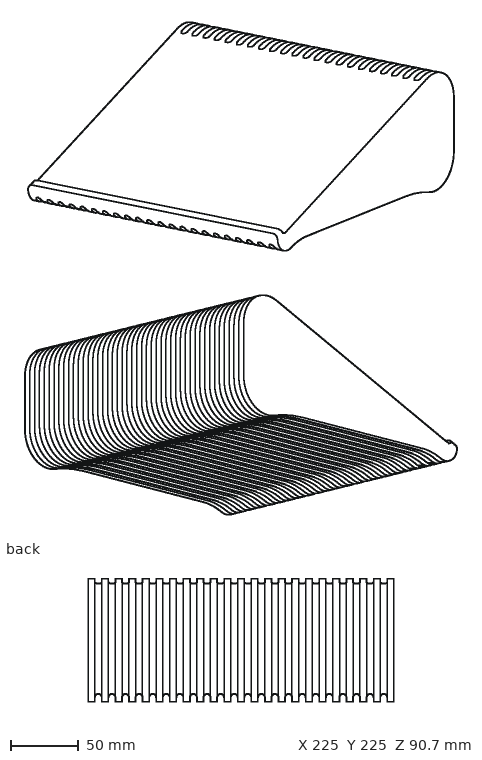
import cadquery as cq
import math

WIDTH = 225
DEPTH = 225
HEIGHT = 90.7

REAR_RADIUS = 25.0
NOSE_RADIUS = 12.5
BELLY_HEIGHT = 5.0
REAR_BLEND_RADIUS = 112.5
NOSE_BLEND_RADIUS = 50.0
SLOPE_ANGLE = math.radians(22.4)

LIP_HEIGHT = 4.7
LIP_BACK_Y = 5.6
LIP_ROOT_RADIUS = 2.5
LIP_END_RADIUS = 4.0

SLOT_COUNT = 22
SLOT_WIDTH = WIDTH / (2 * SLOT_COUNT + 1)
SLOT_PITCH = 2 * SLOT_WIDTH
SLOT_RADIUS = SLOT_WIDTH / 2
SLOT_CENTERS = [SLOT_PITCH * (i + 1) - SLOT_RADIUS for i in range(SLOT_COUNT)]
SLOT_DEPTH = 38.5
GROOVE_HEIGHT = 5.8

UPPER_RIGHT = 45
UPPER_LEFT = 135
LOWER_LEFT = 225
LOWER_RIGHT = 315

DOWN_SLOPE = (-math.cos(SLOPE_ANGLE), -math.sin(SLOPE_ANGLE))
SLOPE_NORMAL = (-math.sin(SLOPE_ANGLE), math.cos(SLOPE_ANGLE))

REAR_Y = DEPTH - REAR_RADIUS
TOP_CENTER = (REAR_Y, HEIGHT - REAR_RADIUS)
BOTTOM_CENTER = (REAR_Y, REAR_RADIUS)
NOSE_CENTER = (NOSE_RADIUS, NOSE_RADIUS)


def move(point, direction, distance):
    """Point shifted along a unit direction."""
    return (point[0] + distance * direction[0], point[1] + distance * direction[1])


def on_circle(center, radius, degrees):
    """Point on a circle at an angle counted from the first sketch axis toward the second."""
    angle = math.radians(degrees)
    return move(center, (math.cos(angle), math.sin(angle)), radius)


DECK_START = move(TOP_CENTER, SLOPE_NORMAL, REAR_RADIUS)


def deck_height(y, offset=0):
    """Height at y of a line parallel to the deck, offset along the deck normal."""
    deck_z = DECK_START[1] - (DECK_START[0] - y) * math.tan(SLOPE_ANGLE)
    return deck_z + offset / math.cos(SLOPE_ANGLE)


def belly_blend(foot_center, toward_belly, radius):
    """Arc tangent to a round foot and to the flat belly: foot point, middle, belly point."""
    foot_radius = foot_center[1]
    rise = radius + foot_radius - BELLY_HEIGHT
    reach = math.sqrt((radius + foot_radius) ** 2 - rise**2)
    center = (foot_center[0] + toward_belly * reach, BELLY_HEIGHT - radius)
    lean = math.atan2(reach, rise)

    def on_arc(angle):
        direction = (-toward_belly * math.sin(angle), math.cos(angle))
        return move(center, direction, radius)

    return on_arc(lean), on_arc(lean / 2), on_arc(0)


def make_body():
    """Solid wedge with its lip, extruded along X from the side profile."""
    lip_top_back = (LIP_BACK_Y, deck_height(LIP_BACK_Y, LIP_HEIGHT))
    lip_root = move(lip_top_back, SLOPE_NORMAL, -LIP_HEIGHT)
    root_on_deck = move(lip_root, DOWN_SLOPE, -LIP_ROOT_RADIUS)
    root_on_lip = move(lip_root, SLOPE_NORMAL, LIP_ROOT_RADIUS)
    root_center = move(root_on_deck, SLOPE_NORMAL, LIP_ROOT_RADIUS)
    root_middle_angle = LOWER_LEFT + math.degrees(SLOPE_ANGLE)
    root_middle = on_circle(root_center, LIP_ROOT_RADIUS, root_middle_angle)

    rear_foot, rear_blend, belly_rear = belly_blend(BOTTOM_CENTER, -1, REAR_BLEND_RADIUS)
    nose_foot, nose_blend, belly_front = belly_blend(NOSE_CENTER, 1, NOSE_BLEND_RADIUS)

    return (
        cq.Workplane("YZ")
        .moveTo(*DECK_START)
        .lineTo(*root_on_deck)
        .threePointArc(root_middle, root_on_lip)
        .lineTo(*lip_top_back)
        .lineTo(0, deck_height(0, LIP_HEIGHT))
        .lineTo(0, NOSE_RADIUS)
        .threePointArc(on_circle(NOSE_CENTER, NOSE_RADIUS, LOWER_LEFT), nose_foot)
        .threePointArc(nose_blend, belly_front)
        .lineTo(*belly_rear)
        .threePointArc(rear_blend, rear_foot)
        .threePointArc(on_circle(BOTTOM_CENTER, REAR_RADIUS, LOWER_RIGHT), (DEPTH, REAR_RADIUS))
        .lineTo(DEPTH, HEIGHT - REAR_RADIUS)
        .threePointArc(on_circle(TOP_CENTER, REAR_RADIUS, UPPER_RIGHT), DECK_START)
        .close()
        .extrude(WIDTH)
    )


def make_lip_end_cut():
    """Cutter that rounds the top of the lip at X = 0, swept parallel to the deck."""
    plane = cq.Plane(
        origin=(0, 0, deck_height(0, LIP_HEIGHT)),
        xDir=(1, 0, 0),
        normal=(0, DOWN_SLOPE[0], DOWN_SLOPE[1]),
    )
    round_center = (LIP_END_RADIUS, -LIP_END_RADIUS)
    reach = LIP_BACK_Y + LIP_ROOT_RADIUS
    return (
        cq.Workplane(plane)
        .moveTo(0, -LIP_END_RADIUS)
        .threePointArc(on_circle(round_center, LIP_END_RADIUS, UPPER_LEFT), (LIP_END_RADIUS, 0))
        .lineTo(0, 0)
        .close()
        .extrude(reach, both=True)
    )


def make_rear_slots():
    """Vertical slots open to the rear with round inner ends."""
    round_y = DEPTH - SLOT_DEPTH + SLOT_RADIUS
    slots = cq.Workplane("XY")
    for x in SLOT_CENTERS:
        slots = slots.moveTo(x - SLOT_RADIUS, DEPTH).lineTo(x - SLOT_RADIUS, round_y)
        slots = slots.threePointArc((x, DEPTH - SLOT_DEPTH), (x + SLOT_RADIUS, round_y))
        slots = slots.lineTo(x + SLOT_RADIUS, DEPTH).close()
    return slots.extrude(HEIGHT)


def make_foot_grooves():
    """Round-topped grooves through both feet, cutting slightly into the belly between them."""
    spring_z = GROOVE_HEIGHT - SLOT_RADIUS
    grooves = cq.Workplane("XZ")
    for x in SLOT_CENTERS:
        grooves = grooves.moveTo(x - SLOT_RADIUS, 0).lineTo(x - SLOT_RADIUS, spring_z)
        grooves = grooves.threePointArc((x, GROOVE_HEIGHT), (x + SLOT_RADIUS, spring_z))
        grooves = grooves.lineTo(x + SLOT_RADIUS, 0).close()
    return grooves.extrude(-DEPTH)


left_end = make_lip_end_cut()
right_end = left_end.mirror("YZ").translate((WIDTH, 0, 0))
result = make_body().cut(left_end).cut(right_end).cut(make_rear_slots()).cut(make_foot_grooves())